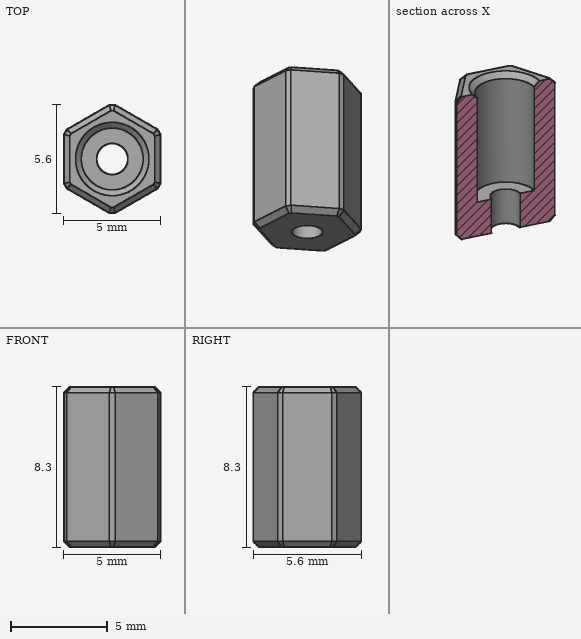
import cadquery as cq
import math

across_flats = 5.0
across_corners = 5.6
length = 8.3
end_chamfer = 0.3

bore_diameter = 3.2
through_diameter = 1.6
floor_thickness = 2.0
bore_chamfer = 0.3

half_flat_angle = math.radians(30)
half_corner_angle = math.radians(60)
sharp_corners = across_flats / math.cos(half_flat_angle)
corner_cut_depth = (sharp_corners - across_corners) / 2
corner_chamfer = corner_cut_depth / math.cos(half_corner_angle)


def hex_body():
    """Hexagonal prism standing on Z = 0 with chamfered long edges and chamfered ends."""
    prism = (
        cq.Workplane("XY")
        .transformed(rotate=(0, 0, 90))
        .polygon(6, sharp_corners)
        .extrude(length)
    )
    trimmed = prism.edges("|Z").chamfer(corner_chamfer)
    return trimmed.faces("<Z or >Z").chamfer(end_chamfer)


def stepped_bore():
    """Material removed along the axis: small through hole, large bore and its lead-in."""
    small_radius = through_diameter / 2
    large_radius = bore_diameter / 2
    mouth_radius = large_radius + bore_chamfer
    half_section = [
        (0, 0),
        (small_radius, 0),
        (small_radius, floor_thickness),
        (large_radius, floor_thickness),
        (large_radius, length - bore_chamfer),
        (mouth_radius, length),
        (0, length),
    ]
    return cq.Workplane("XZ").polyline(half_section).close().revolve(360, (0, 0), (0, 1))


result = hex_body().cut(stepped_bore())